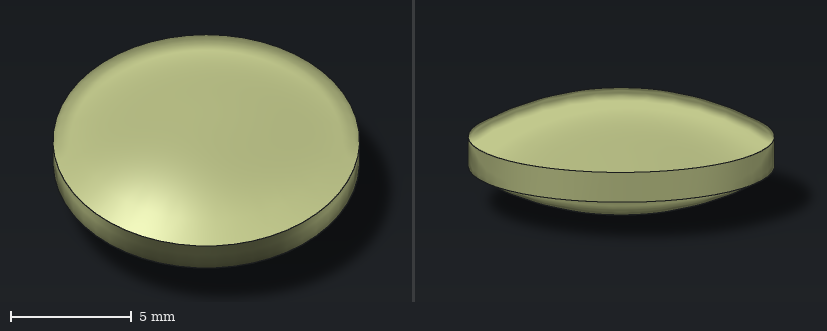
import cadquery as cq
import math

diameter = 12.7
thickness = 4.72
rim_height = 1.27

radius = diameter / 2
half_thickness = thickness / 2
half_rim = rim_height / 2
cap_height = half_thickness - half_rim

sphere_radius = (radius**2 + cap_height**2) / (2 * cap_height)
sphere_center_z = half_thickness - sphere_radius

arc_mid_x = radius / 2
arc_mid_z = sphere_center_z + math.sqrt(sphere_radius**2 - arc_mid_x**2)

half_section = (
    cq.Workplane("XZ")
    .moveTo(0, -half_thickness)
    .threePointArc((arc_mid_x, -arc_mid_z), (radius, -half_rim))
    .lineTo(radius, half_rim)
    .threePointArc((arc_mid_x, arc_mid_z), (0, half_thickness))
    .close()
)
result = half_section.revolve(360, (0, 0, 0), (0, 1, 0))